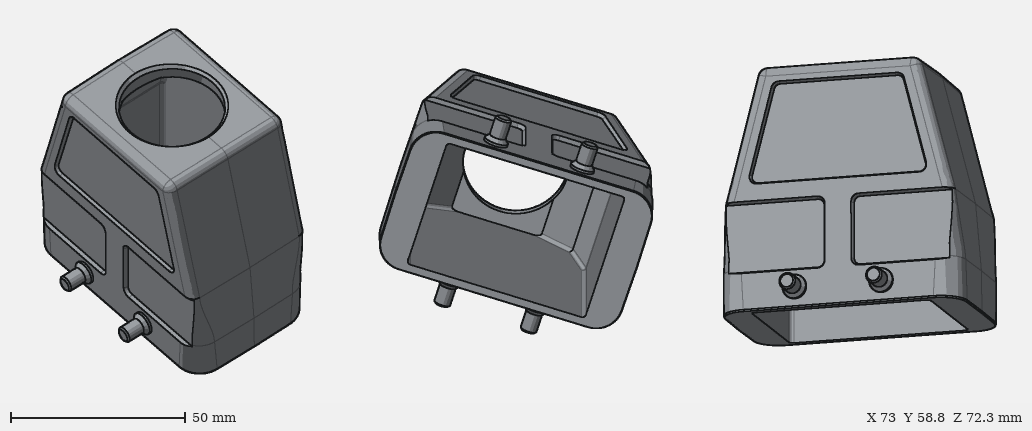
import cadquery as cq
import math

HEIGHT = 72.25
RIM_HEIGHT = 0.5
RIM_INSET = 0.2
SKIRT_HEIGHT = 12.4
SHOULDER_HEIGHT = 32.4
BOTTOM_HALF_LENGTH = 36.5
SKIRT_HALF_LENGTH = 36.4
SHOULDER_HALF_LENGTH = 34.6
TOP_HALF_LENGTH = 24.2
BOTTOM_HALF_WIDTH = 21.5
TOP_HALF_WIDTH = 21.85
CROWN_ANGLE = 0.8
EDGE_RADIUS = 3.0
BOTTOM_CORNER_RADIUS = 7.8
SKIRT_CORNER_RADIUS = 7.0
BLEND_STEPS = 6

HOLE_DIAMETER = 30.5
HOLE_CHAMFER = 1.1
ROOF_THICKNESS = 4.5

CAVITY_HALF_LENGTH = 26.8
CAVITY_HALF_WIDTH = 19.0
CAVITY_SHOULDER_HEIGHT = 47.2
CAVITY_SHOULDER_RADIUS = 3.0
CAVITY_CORNER_RADIUS = 1.1
HAUNCH_BOTTOM = 62.1
HAUNCH_SLOPE = 0.6

PANEL_DRAFT = 25.0
PANEL_CORNER_RADIUS = 1.75
PANEL_CUT_LENGTH = 2.2
WINDOW_FLOOR_Y = 20.6
WINDOW_BOTTOM = 37.85
WINDOW_TOP = 66.6
WINDOW_BOTTOM_HALF_LENGTH = 26.6
SIDE_PANEL_FLOOR_Y = 20.3
SIDE_PANEL_INNER_X = 4.5
SIDE_PANEL_OUTER_X = 40.9
SIDE_PANEL_BOTTOM = 11.75
SIDE_PANEL_TOP = 31.8

PIN_SPACING = 26.0
PIN_HEIGHT = 6.15
PIN_DIAMETER = 4.8
PIN_END_Y = 29.4
PIN_CHAMFER = 0.5
COLLAR_DIAMETER = 7.0
COLLAR_START_Y = 19.7
COLLAR_EDGE_Y = 22.3
COLLAR_END_Y = 23.5

CROWN_SLOPE = math.tan(math.radians(CROWN_ANGLE))
END_WALL_SLOPE = (SHOULDER_HALF_LENGTH - TOP_HALF_LENGTH) / (HEIGHT - SHOULDER_HEIGHT)


def half_width_at(z):
    return BOTTOM_HALF_WIDTH + (TOP_HALF_WIDTH - BOTTOM_HALF_WIDTH) * z / HEIGHT


def plan_points(half_length, half_width):
    """Six-sided plan: the ends are slightly pointed at Y = 0."""
    corner_x = half_length - CROWN_SLOPE * half_width
    return [
        (half_length, 0),
        (corner_x, half_width),
        (-corner_x, half_width),
        (-half_length, 0),
        (-corner_x, -half_width),
        (corner_x, -half_width),
    ]


def plan_wire(z, half_length, half_width, corner_radius=0):
    points = [cq.Vector(x, y, z) for x, y in plan_points(half_length, half_width)]
    wire = cq.Wire.makePolygon(points, close=True)
    if corner_radius:
        corners = [v for v in wire.Vertices() if abs(v.Y) > half_width / 2]
        wire = wire.fillet2D(corner_radius, corners)
    return wire


def loft(wires, ruled):
    return cq.Workplane(cq.Solid.makeLoft(wires, ruled))


def make_skirt():
    rim = plan_wire(
        0,
        BOTTOM_HALF_LENGTH - RIM_INSET,
        BOTTOM_HALF_WIDTH - RIM_INSET,
        BOTTOM_CORNER_RADIUS - RIM_INSET,
    )
    foot = plan_wire(RIM_HEIGHT, BOTTOM_HALF_LENGTH, half_width_at(RIM_HEIGHT), BOTTOM_CORNER_RADIUS)
    top = plan_wire(SKIRT_HEIGHT, SKIRT_HALF_LENGTH, half_width_at(SKIRT_HEIGHT), SKIRT_CORNER_RADIUS)
    return loft([rim, foot, top], True)


def make_waist():
    """Middle part whose corner radius grows smoothly from the shoulder down to the skirt."""
    wires = []
    for step in range(BLEND_STEPS + 1):
        t = step / BLEND_STEPS
        ease = t * t * (3 - 2 * t)
        z = SKIRT_HEIGHT + t * (SHOULDER_HEIGHT - SKIRT_HEIGHT)
        half_length = SKIRT_HALF_LENGTH + t * (SHOULDER_HALF_LENGTH - SKIRT_HALF_LENGTH)
        radius = SKIRT_CORNER_RADIUS + ease * (EDGE_RADIUS - SKIRT_CORNER_RADIUS)
        wires.append(plan_wire(z, half_length, half_width_at(z), radius))
    return loft(wires, False)


def make_hood():
    """Leaning upper part with a slightly ridged roof, all free edges rounded."""
    bottom = plan_wire(SHOULDER_HEIGHT, SHOULDER_HALF_LENGTH, half_width_at(SHOULDER_HEIGHT))
    top = plan_wire(HEIGHT, TOP_HALF_LENGTH, TOP_HALF_WIDTH)
    hood = loft([bottom, top], True)
    roof_y = 2 * TOP_HALF_WIDTH
    eave = HEIGHT - CROWN_SLOPE * roof_y
    roof_limit = (
        cq.Workplane("YZ")
        .polyline([(-roof_y, 0), (roof_y, 0), (roof_y, eave), (0, HEIGHT), (-roof_y, eave)])
        .close()
        .extrude(BOTTOM_HALF_LENGTH, both=True)
    )
    hood = hood.intersect(roof_limit)
    free_edges = hood.edges().filter(
        lambda edge: edge.Center().z > SHOULDER_HEIGHT and abs(edge.Center().y) > TOP_HALF_WIDTH / 4
    )
    return hood.newObject(free_edges.vals()).fillet(EDGE_RADIUS)


def make_cavity():
    """Inside space: leaning ends follow the outer ends, with a haunch under each end of the roof."""
    ceiling = HEIGHT - ROOF_THICKNESS
    haunch_rise = ceiling - HAUNCH_BOTTOM
    haunch_foot_x = CAVITY_HALF_LENGTH - END_WALL_SLOPE * (HAUNCH_BOTTOM - CAVITY_SHOULDER_HEIGHT)
    haunch_top_x = haunch_foot_x - haunch_rise / HAUNCH_SLOPE
    right_half = [
        (CAVITY_HALF_LENGTH, 0),
        (CAVITY_HALF_LENGTH, CAVITY_SHOULDER_HEIGHT),
        (haunch_foot_x, HAUNCH_BOTTOM),
        (haunch_top_x, ceiling),
    ]
    left_half = [(-x, z) for x, z in reversed(right_half)]
    cavity = cq.Workplane("XZ").polyline(right_half + left_half).close().extrude(CAVITY_HALF_WIDTH, both=True)
    shoulders = cavity.edges("|Y").filter(lambda edge: abs(edge.Center().z - CAVITY_SHOULDER_HEIGHT) < 0.7)
    cavity = cavity.newObject(shoulders.vals()).fillet(CAVITY_SHOULDER_RADIUS)
    return cavity.faces("<Y or >Y").edges("not(<Z or >Z)").fillet(CAVITY_CORNER_RADIUS)


def make_hole():
    radius = HOLE_DIAMETER / 2
    depth = 2 * ROOF_THICKNESS
    cone_height = 2 * HOLE_CHAMFER
    bore = cq.Workplane("XY", origin=(0, 0, HEIGHT - depth)).circle(radius).extrude(depth)
    cone_base = cq.Vector(0, 0, HEIGHT - HOLE_CHAMFER)
    cone = cq.Solid.makeCone(radius, radius + cone_height, cone_height, cone_base)
    return bore.union(cq.Workplane(cone))


def panel_cutter(floor_outline, floor_y):
    """Cutter on the -Y wall, opening outward from its floor with drafted sides."""
    floor = cq.Sketch().polygon(floor_outline + floor_outline[:1]).vertices().fillet(PANEL_CORNER_RADIUS)
    floor_plane = cq.Workplane("XZ", origin=(0, -floor_y, 0))
    return floor_plane.placeSketch(floor).extrude(PANEL_CUT_LENGTH, taper=-PANEL_DRAFT)


def make_panels():
    window_top_half_length = WINDOW_BOTTOM_HALF_LENGTH - END_WALL_SLOPE * (WINDOW_TOP - WINDOW_BOTTOM)
    window = panel_cutter(
        [
            (-WINDOW_BOTTOM_HALF_LENGTH, WINDOW_BOTTOM),
            (WINDOW_BOTTOM_HALF_LENGTH, WINDOW_BOTTOM),
            (window_top_half_length, WINDOW_TOP),
            (-window_top_half_length, WINDOW_TOP),
        ],
        WINDOW_FLOOR_Y,
    )
    side_panel = panel_cutter(
        [
            (SIDE_PANEL_INNER_X, SIDE_PANEL_BOTTOM),
            (SIDE_PANEL_OUTER_X, SIDE_PANEL_BOTTOM),
            (SIDE_PANEL_OUTER_X, SIDE_PANEL_TOP),
            (SIDE_PANEL_INNER_X, SIDE_PANEL_TOP),
        ],
        SIDE_PANEL_FLOOR_Y,
    )
    return [window, side_panel, side_panel.mirror("YZ")]


def make_pin():
    """Pin with a conical collar on the -Y wall, at X = 0."""
    radius = PIN_DIAMETER / 2
    profile = [
        (0, COLLAR_START_Y),
        (COLLAR_DIAMETER / 2, COLLAR_START_Y),
        (COLLAR_DIAMETER / 2, COLLAR_EDGE_Y),
        (radius, COLLAR_END_Y),
        (radius, PIN_END_Y - PIN_CHAMFER),
        (radius - PIN_CHAMFER, PIN_END_Y),
        (0, PIN_END_Y),
    ]
    pin = cq.Workplane("XY").polyline(profile).close().revolve(360, (0, 0, 0), (0, 1, 0))
    return pin.mirror("XZ").translate((0, 0, PIN_HEIGHT))


body = make_skirt().union(make_waist()).union(make_hood())
for panel in make_panels():
    body = body.cut(panel).cut(panel.mirror("XZ"))
body = body.cut(make_cavity()).cut(make_hole())
for side in (-1, 1):
    pin = make_pin().translate((side * PIN_SPACING / 2, 0, 0))
    body = body.union(pin).union(pin.mirror("XZ"))
result = body